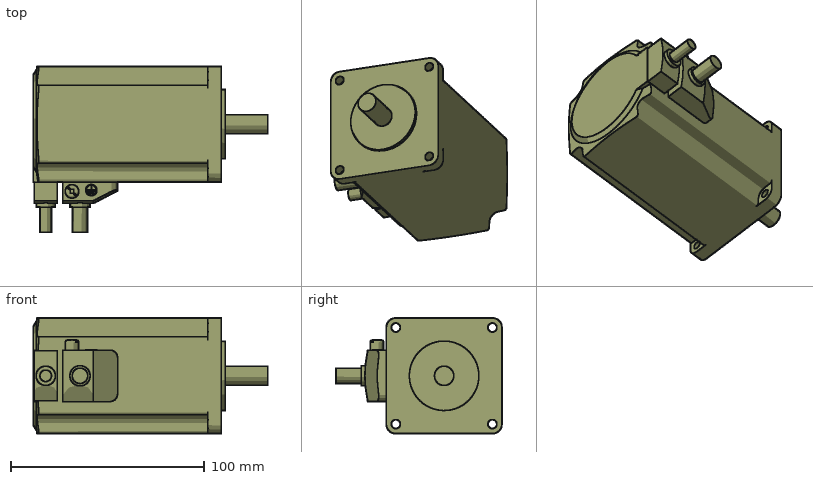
import math

import cadquery as cq


FRAME = 60.0
HALF = FRAME / 2
HOUSING_LENGTH = 97.5
FLANGE_THICKNESS = 7.0
HOLE_OFFSET = 25.0
HOLE_DIAMETER = 4.5
FLANGE_CORNER_RADIUS = HALF - HOLE_OFFSET
NOTCH_RADIUS = 4.75
NOTCH_EDGE_RADIUS = 1.5

REAR_DISC_RADIUS = 25.6
REAR_BEVEL_RADIUS = 28.3
REAR_BEVEL_DEPTH = 1.7
REAR_SLOPE_ANGLE = 10.0

BRIDGE_DEPTH = 5.0

PILOT_DIAMETER = 36.0
PILOT_LENGTH = 2.0
SHAFT_DIAMETER = 10.0
SHAFT_LENGTH = 24.0

SIDE_Y = -HALF
CONNECTOR_REACH = 11.0
CROWN_HEIGHT = 1.4
COLLAR_REACH = 13.0
CABLE_REACH = 26.0

SIGNAL_WIDTH = 26.0
SIGNAL_START = 0.5
SIGNAL_LENGTH = 12.0
SIGNAL_CABLE_X = SIGNAL_START + SIGNAL_LENGTH / 2
SIGNAL_COLLAR_DIAMETER = 10.0
SIGNAL_CABLE_DIAMETER = 6.0

POWER_WIDTH = 26.7
POWER_START = 15.2
POWER_RIDGE = 31.2
POWER_END = 43.7
POWER_SLOPE_DROP = 6.4
POWER_CORNER_RADIUS = 4.0
POWER_CABLE_X = 24.25
POWER_COLLAR_DIAMETER = 10.5
POWER_CABLE_DIAMETER = 8.0

SCREW_X = 20.1
SCREW_Y = -34.8
SCREW_DIAMETER = 7.0
SCREW_TOP_DIAMETER = 4.5
SCREW_EDGE_RADIUS = (SCREW_DIAMETER - SCREW_TOP_DIAMETER) / 2
SCREW_HEIGHT = 5.2
SCREW_RECESS_DEPTH = 1.25
SCREW_SLOT_WIDTH = 0.5
SCREW_SLOT_ANGLE = -45.0
SCREW_SQUARE = 2.0

MARK_X = 30.1
MARK_Y = -34.1
MARK_HEIGHT = 0.2
MARK_OUTER_DIAMETER = 5.8
MARK_INNER_DIAMETER = 5.2
MARK_LINE = (MARK_OUTER_DIAMETER - MARK_INNER_DIAMETER) / 2
MARK_BAR_PITCH = 0.75
MARK_BAR_LENGTHS = (MARK_INNER_DIAMETER, 3.6, 2.0)


def x_prism(y_size, z_size, length):
    """Rectangular bar centred on the axis, from X = 0 along +X."""
    return cq.Workplane("YZ").rect(y_size, z_size).extrude(length)


def corner_notch(y_sign, z_sign, length):
    """Corner clearance cut: square with a rounded inner corner around the hole."""
    depth = HALF - HOLE_OFFSET + NOTCH_RADIUS
    return (
        cq.Workplane("YZ")
        .center(y_sign * HALF, z_sign * HALF)
        .rect(2 * depth, 2 * depth)
        .extrude(length)
        .edges("|X")
        .fillet(NOTCH_RADIUS)
    )


def round_notch_edge(barrel, y, z, length):
    """Round the lengthwise barrel edge that runs through (y, z)."""
    reach = NOTCH_EDGE_RADIUS / 2
    around_edge = cq.selectors.BoxSelector((0, y - reach, z - reach), (length, y + reach, z + reach))
    return barrel.edges("|X").edges(around_edge).fillet(NOTCH_EDGE_RADIUS)


def rear_envelope():
    """Turned shape that bevels the rear end of the square frame."""
    outer_radius = FRAME
    slope = math.tan(math.radians(REAR_SLOPE_ANGLE))
    outer_x = REAR_BEVEL_DEPTH + (outer_radius - REAR_BEVEL_RADIUS) * slope
    profile = [
        (0, 0),
        (0, REAR_DISC_RADIUS),
        (REAR_BEVEL_DEPTH, REAR_BEVEL_RADIUS),
        (outer_x, outer_radius),
        (HOUSING_LENGTH, outer_radius),
        (HOUSING_LENGTH, 0),
    ]
    return cq.Workplane("XY").polyline(profile).close().revolve(360, (0, 0, 0), (1, 0, 0))


def make_housing():
    barrel_length = HOUSING_LENGTH - FLANGE_THICKNESS
    barrel = x_prism(FRAME, FRAME, barrel_length)
    for y_sign in (-1, 1):
        for z_sign in (-1, 1):
            barrel = barrel.cut(corner_notch(y_sign, z_sign, barrel_length))
    notch_wall = HOLE_OFFSET - NOTCH_RADIUS
    for y_sign in (-1, 1):
        for z_sign in (-1, 1):
            for y, z in ((HALF, notch_wall), (notch_wall, HALF)):
                barrel = round_notch_edge(barrel, y_sign * y, z_sign * z, barrel_length)
    barrel = barrel.intersect(rear_envelope())

    flange = (
        x_prism(FRAME, FRAME, FLANGE_THICKNESS)
        .edges("|X")
        .fillet(FLANGE_CORNER_RADIUS)
        .faces(">X")
        .workplane()
        .rect(2 * HOLE_OFFSET, 2 * HOLE_OFFSET, forConstruction=True)
        .vertices()
        .hole(HOLE_DIAMETER)
        .translate((barrel_length, 0, 0))
    )
    return barrel.union(flange)


def make_rear_bridge():
    """Flat band that carries the rear disc out to the connector side."""
    return (
        cq.Workplane("XY", origin=(0, SIDE_Y, 0))
        .box(BRIDGE_DEPTH, HALF, POWER_WIDTH, centered=(False, False, True))
    )


def make_shaft_end():
    face = cq.Workplane("YZ", origin=(HOUSING_LENGTH, 0, 0))
    pilot = face.circle(PILOT_DIAMETER / 2).extrude(PILOT_LENGTH)
    return pilot.union(face.circle(SHAFT_DIAMETER / 2).extrude(SHAFT_LENGTH))


def crowned_section(x, width, reach):
    """Connector cross-section at X = x: a rectangle with a crowned outer end."""
    half_width = width / 2
    shoulder_y = SIDE_Y - reach + CROWN_HEIGHT
    return (
        cq.Workplane("YZ", origin=(x, 0, 0))
        .moveTo(SIDE_Y, -half_width)
        .lineTo(shoulder_y, -half_width)
        .threePointArc((SIDE_Y - reach, 0), (shoulder_y, half_width))
        .lineTo(SIDE_Y, half_width)
        .close()
    )


def make_cable(x, collar_diameter, cable_diameter):
    """Collar and cable leaving a connector along -Y."""
    base = cq.Workplane("XZ", origin=(x, SIDE_Y, 0))
    collar = base.circle(collar_diameter / 2).extrude(COLLAR_REACH)
    return collar.union(base.circle(cable_diameter / 2).extrude(CABLE_REACH))


def make_signal_connector():
    body = crowned_section(SIGNAL_START, SIGNAL_WIDTH, CONNECTOR_REACH).extrude(SIGNAL_LENGTH)
    return body.union(make_cable(SIGNAL_CABLE_X, SIGNAL_COLLAR_DIAMETER, SIGNAL_CABLE_DIAMETER))


def make_power_connector():
    block = crowned_section(POWER_START, POWER_WIDTH, CONNECTOR_REACH).extrude(POWER_RIDGE - POWER_START)
    ridge_wire = crowned_section(POWER_RIDGE, POWER_WIDTH, CONNECTOR_REACH).wire().val()
    end_wire = crowned_section(POWER_END, POWER_WIDTH, CONNECTOR_REACH - POWER_SLOPE_DROP).wire().val()
    ramp = cq.Workplane(cq.Solid.makeLoft([ridge_wire, end_wire], True))
    body = block.union(ramp).edges("|Y and >X").fillet(POWER_CORNER_RADIUS)
    return body.union(make_cable(POWER_CABLE_X, POWER_COLLAR_DIAMETER, POWER_CABLE_DIAMETER))


def make_earth_screw():
    screw = (
        cq.Workplane("XY")
        .circle(SCREW_DIAMETER / 2)
        .extrude(SCREW_HEIGHT)
        .faces(">Z")
        .edges()
        .fillet(SCREW_EDGE_RADIUS)
    )
    recess_plane = cq.Workplane("XY", origin=(0, 0, SCREW_HEIGHT - SCREW_RECESS_DEPTH))
    slot = (
        recess_plane.rect(SCREW_DIAMETER, SCREW_SLOT_WIDTH)
        .extrude(SCREW_RECESS_DEPTH)
        .rotate((0, 0, 0), (0, 0, 1), SCREW_SLOT_ANGLE)
    )
    square = recess_plane.rect(SCREW_SQUARE, SCREW_SQUARE).extrude(SCREW_RECESS_DEPTH)
    return screw.cut(slot).cut(square).translate((SCREW_X, SCREW_Y, POWER_WIDTH / 2))


def make_earth_mark():
    """Raised ring holding a stem and three bars that shorten toward -Y."""
    plane = cq.Workplane("XY")
    mark = plane.circle(MARK_OUTER_DIAMETER / 2).circle(MARK_INNER_DIAMETER / 2).extrude(MARK_HEIGHT)
    stem_length = (MARK_OUTER_DIAMETER + MARK_INNER_DIAMETER) / 4
    stem = plane.center(0, stem_length / 2).rect(MARK_LINE, stem_length).extrude(MARK_HEIGHT)
    mark = mark.union(stem)
    for index, length in enumerate(MARK_BAR_LENGTHS):
        bar = plane.center(0, -index * MARK_BAR_PITCH).rect(length, MARK_LINE).extrude(MARK_HEIGHT)
        mark = mark.union(bar)
    return mark.translate((MARK_X, MARK_Y, POWER_WIDTH / 2))


result = (
    make_housing()
    .union(make_rear_bridge())
    .union(make_shaft_end())
    .union(make_signal_connector())
    .union(make_power_connector())
    .union(make_earth_screw())
    .union(make_earth_mark())
)